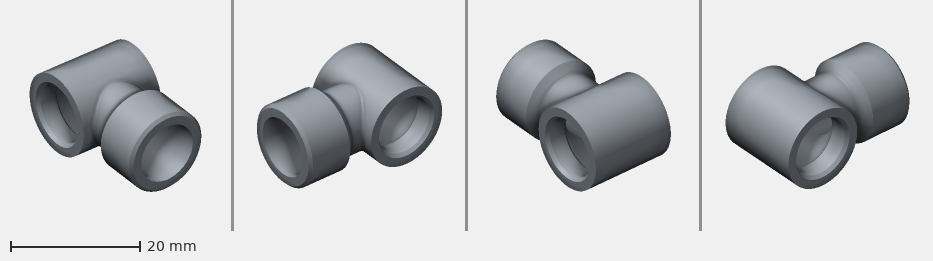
import cadquery as cq

run_length = 15.0
outer_radius = 7.0
lip_radius = 5.0
mouth_radius = 5.45
mouth_depth = 0.6
chamber_radius = 5.5
chamber_length = 7.9
chamber_taper = 0.5

branch_end = 18.5
neck_radius = 5.5
socket_start = 10.7
cone_start = socket_start - (outer_radius - neck_radius)
end_chamfer = 0.5
neck_bore_radius = 3.25
socket_bore_radius = lip_radius
socket_bore_start = 9.1

saddle_fillet = 0.5
cone_fillet = 0.5

selection_margin = 0.1


def cylinder_along_y(radius, length):
    return cq.Workplane("XZ").circle(radius).extrude(length / 2, both=True)


def revolve_about_x(points):
    return cq.Workplane("XY").polyline(points).close().revolve(360, (0, 0, 0), (1, 0, 0))


def revolve_about_y(points):
    return cq.Workplane("XY").polyline(points).close().revolve(360, (0, 0, 0), (0, 1, 0))


def branch_body():
    """Solid neck, cone and socket, starting inside the run tube."""
    return revolve_about_x([
        (0, 0),
        (0, neck_radius),
        (cone_start, neck_radius),
        (socket_start, outer_radius),
        (branch_end - end_chamfer, outer_radius),
        (branch_end, outer_radius - end_chamfer),
        (branch_end, 0),
    ])


def edges_box(x_min, x_max):
    """Select edges centred between two X positions and within the neck's width."""
    reach = neck_radius + selection_margin
    return cq.selectors.BoxSelector((x_min, -reach, -reach), (x_max, reach, reach))


def outer_body():
    """Run tube and branch joined, with both ends of the neck blended."""
    body = cylinder_along_y(outer_radius, run_length).union(branch_body())
    cone_foot = edges_box(cone_start - selection_margin, cone_start + selection_margin)
    body = body.edges(cone_foot).fillet(cone_fillet)
    saddle = edges_box(selection_margin, outer_radius + selection_margin)
    return body.edges(saddle).edges("not %LINE").fillet(saddle_fillet)


def run_mouth():
    """Chamfer at the -Y end of the run tube."""
    end = -run_length / 2
    return revolve_about_y([
        (0, end),
        (mouth_radius, end),
        (lip_radius, end + mouth_depth),
        (0, end + mouth_depth),
    ])


def run_chamber():
    """Wider middle of the bore, tapering back to the lips."""
    half = chamber_length / 2
    straight_half = half - chamber_taper
    return revolve_about_y([
        (0, -half),
        (lip_radius, -half),
        (chamber_radius, -straight_half),
        (chamber_radius, straight_half),
        (lip_radius, half),
        (0, half),
    ])


def run_bore():
    """Through bore with its chamber and a chamfered mouth at both ends."""
    bore = cylinder_along_y(lip_radius, run_length)
    mouth = run_mouth()
    return bore.union(run_chamber()).union(mouth).union(mouth.mirror("XZ"))


def branch_bore():
    """Narrow bore out of the chamber, stepping up to the socket bore."""
    return revolve_about_x([
        (0, 0),
        (0, neck_bore_radius),
        (socket_bore_start, neck_bore_radius),
        (socket_bore_start, socket_bore_radius),
        (branch_end, socket_bore_radius),
        (branch_end, 0),
    ])


result = outer_body().cut(run_bore()).cut(branch_bore())